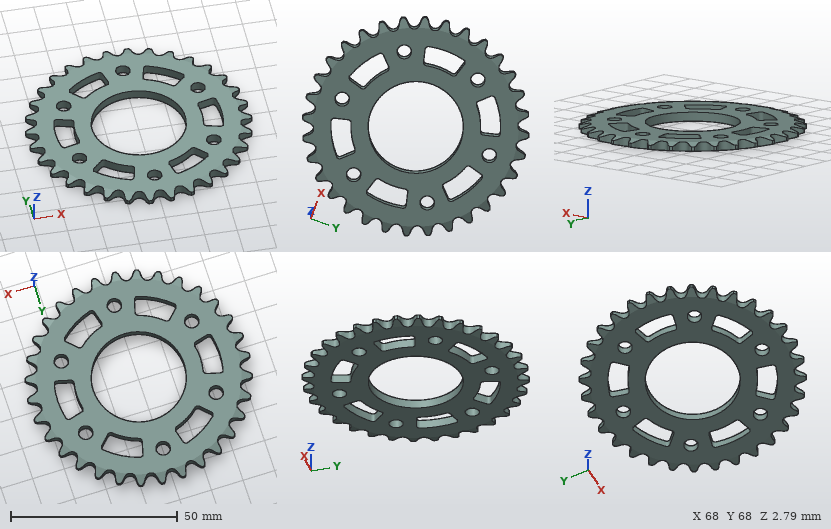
import cadquery as cq
import math

TOOTH_COUNT = 32
CHAIN_PITCH = 6.35
ROLLER_DIAMETER = 3.302
THICKNESS = 2.79

BORE_DIAMETER = 28.6
BOLT_COUNT = 6
BOLT_CIRCLE_RADIUS = 23.8
BOLT_HOLE_DIAMETER = 4.3

WINDOW_COUNT = 6
WINDOW_INNER_RADIUS = 19.5
WINDOW_OUTER_RADIUS = 25.5
WINDOW_SPAN = 30.0
WINDOW_CORNER_RADIUS = 1.0

BEVEL_START_RADIUS = 31.0
TIP_THICKNESS = 1.22

HALF_TOOTH_ANGLE = 180 / TOOTH_COUNT
PITCH_RADIUS = CHAIN_PITCH / (2 * math.sin(math.radians(HALF_TOOTH_ANGLE)))
OUTER_RADIUS = CHAIN_PITCH / 2 * (0.6 + 1 / math.tan(math.radians(HALF_TOOTH_ANGLE)))
SEATING_CLEARANCE = 0.0381
SEATING_RADIUS = 0.5025 * ROLLER_DIAMETER + SEATING_CLEARANCE
WORKING_OFFSET = 0.8 * ROLLER_DIAMETER
WORKING_RADIUS = SEATING_RADIUS + WORKING_OFFSET
SEATING_ANGLE = 35 + 60 / TOOTH_COUNT
WORKING_ANGLE = 18 - 56 / TOOTH_COUNT
TOPPING_OFFSET = 1.4 * ROLLER_DIAMETER

FULL_TURN = 360
HALF_TURN = 180
DOWNWARD = 270
OVERSIZE = 5.0


def polar(radius, degrees, center=(0, 0)):
    angle = math.radians(degrees)
    return center[0] + radius * math.cos(angle), center[1] + radius * math.sin(angle)


def mirrored(point):
    return -point[0], point[1]


def tooth_gap_cutter():
    """Space between two teeth, centred on the +Y axis, built from tangent arcs and lines."""
    roller = (0, PITCH_RADIUS)
    seat_bottom = polar(SEATING_RADIUS, DOWNWARD, roller)
    seat_end_angle = HALF_TURN + SEATING_ANGLE
    seat_end = polar(SEATING_RADIUS, seat_end_angle, roller)

    working_center = polar(WORKING_OFFSET, SEATING_ANGLE, roller)
    flank_angle = seat_end_angle - WORKING_ANGLE
    working_end = polar(WORKING_RADIUS, flank_angle, working_center)
    working_middle = polar(WORKING_RADIUS, flank_angle + WORKING_ANGLE / 2, working_center)

    topping_center = polar(TOPPING_OFFSET, HALF_TURN + HALF_TOOTH_ANGLE, roller)
    normal_angle = flank_angle - HALF_TURN
    normal = polar(1, normal_angle)
    topping_radius = sum(n * (e - c) for n, e, c in zip(normal, working_end, topping_center))
    flank_end = polar(topping_radius, normal_angle, topping_center)

    center_distance = math.hypot(*topping_center)
    excess = OUTER_RADIUS**2 - center_distance**2 - topping_radius**2
    cosine = excess / (2 * center_distance * topping_radius)
    outward_angle = math.degrees(math.atan2(topping_center[1], topping_center[0]))
    tip_angle = outward_angle - math.degrees(math.acos(cosine))
    tip = polar(topping_radius, tip_angle, topping_center)
    topping_middle = polar(topping_radius, (normal_angle + tip_angle) / 2, topping_center)
    rim = (tip[0], OUTER_RADIUS + OVERSIZE)

    return (
        cq.Workplane("XY", origin=(0, 0, -THICKNESS / 2))
        .moveTo(*rim)
        .lineTo(*tip)
        .threePointArc(topping_middle, flank_end)
        .lineTo(*working_end)
        .threePointArc(working_middle, seat_end)
        .threePointArc(seat_bottom, mirrored(seat_end))
        .threePointArc(mirrored(working_middle), mirrored(working_end))
        .lineTo(*mirrored(flank_end))
        .threePointArc(mirrored(topping_middle), mirrored(tip))
        .lineTo(*mirrored(rim))
        .close()
        .extrude(THICKNESS)
    )


def beveled_disc():
    """Disc whose two faces taper conically toward the tooth tips."""
    half = THICKNESS / 2
    half_tip = TIP_THICKNESS / 2
    return (
        cq.Workplane("XZ")
        .polyline([
            (0, -half),
            (BEVEL_START_RADIUS, -half),
            (OUTER_RADIUS, -half_tip),
            (OUTER_RADIUS, half_tip),
            (BEVEL_START_RADIUS, half),
            (0, half),
        ])
        .close()
        .revolve(FULL_TURN, (0, 0), (0, 1))
    )


def window_cutter():
    """Ring-sector window centred on the +X axis, with radial sides and rounded corners."""
    half_span = WINDOW_SPAN / 2
    return (
        cq.Workplane("XY", origin=(0, 0, -THICKNESS / 2))
        .moveTo(*polar(WINDOW_INNER_RADIUS, -half_span))
        .lineTo(*polar(WINDOW_OUTER_RADIUS, -half_span))
        .threePointArc(polar(WINDOW_OUTER_RADIUS, 0), polar(WINDOW_OUTER_RADIUS, half_span))
        .lineTo(*polar(WINDOW_INNER_RADIUS, half_span))
        .threePointArc(polar(WINDOW_INNER_RADIUS, 0), polar(WINDOW_INNER_RADIUS, -half_span))
        .close()
        .extrude(THICKNESS)
        .edges("|Z")
        .fillet(WINDOW_CORNER_RADIUS)
    )


def cut_around(body, cutter, count):
    """Remove equally spaced copies of the cutter around the Z axis."""
    step = FULL_TURN / count
    copies = [cutter.rotate((0, 0, 0), (0, 0, 1), index * step).val() for index in range(count)]
    return body.cut(cq.Workplane(cq.Compound.makeCompound(copies)))


def hole_cutter(diameter, radius_from_axis):
    """Through-hole cylinder standing on the +Y axis at the given distance from the part axis."""
    return (
        cq.Workplane("XY", origin=(0, radius_from_axis, -THICKNESS / 2))
        .circle(diameter / 2)
        .extrude(THICKNESS)
    )


sprocket = beveled_disc().cut(hole_cutter(BORE_DIAMETER, 0))
sprocket = cut_around(sprocket, hole_cutter(BOLT_HOLE_DIAMETER, BOLT_CIRCLE_RADIUS), BOLT_COUNT)
sprocket = cut_around(sprocket, window_cutter(), WINDOW_COUNT)
result = cut_around(sprocket, tooth_gap_cutter(), TOOTH_COUNT)